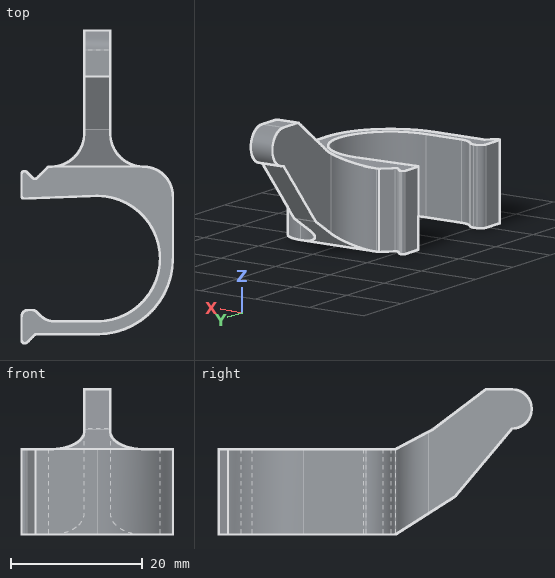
import cadquery as cq
import math

bore_radius = 9.5
wall = 2.0
outer_radius = bore_radius + wall
clip_height = 13.0
mouth_x = -outer_radius
back_y = 14.0
back_corner_radius = 4.5

notch_start_x = -7.4
notch_depth = 2.05
nose_top_y = 13.25
nose_bottom_y = 9.1
notch_root_radius = 0.4
nose_radius = 0.4

bead_top_y = -7.8
bead_radius = 1.0
bead_run_end_x = -6.5
bead_blend_radius = 3.0
hook_bottom_y = -12.9
hook_start_x = -9.4

lever_width = 4.0
root_radius = 5.0
lever_end_y = 34.65
lever_top_z = 22.05
tip_radius = 3.0
tip_center_y = lever_end_y - tip_radius
tip_bottom_z = lever_top_z - 2 * tip_radius
top_flat_end_y = 27.67
upper_bend_y, upper_bend_z = 19.65, 16.0
lower_bend_y, lower_bend_z = 23.0, 5.75

SIN_45 = math.sqrt(0.5)


def round_edge(body, x, y, radius):
    """Fillet the vertical edge nearest to (x, y)."""
    edge = cq.selectors.NearestToPointSelector((x, y, clip_height / 2))
    return body.edges("|Z").edges(edge).fillet(radius)


def make_clip():
    notch_x = notch_start_x - notch_depth
    notch_y = back_y - notch_depth
    nose_x = notch_x - (nose_top_y - notch_y)
    hook_x = hook_start_x - (-outer_radius - hook_bottom_y)
    hook_radius = (hook_x - mouth_x) * SIN_45
    hook_center_x = mouth_x + hook_radius
    hook_center_y = hook_bottom_y + hook_radius
    blend_x = bead_run_end_x - bead_blend_radius * SIN_45
    blend_y = -bore_radius + bead_blend_radius * (1 - SIN_45)
    bead_x = blend_x - (bead_top_y - blend_y)

    body = (
        cq.Workplane("XY")
        .moveTo(mouth_x, nose_top_y)
        .lineTo(nose_x, nose_top_y)
        .lineTo(notch_x, notch_y)
        .lineTo(notch_start_x, back_y)
        .lineTo(outer_radius, back_y)
        .lineTo(outer_radius, 0)
        .threePointArc((outer_radius * SIN_45, -outer_radius * SIN_45), (0, -outer_radius))
        .lineTo(hook_start_x, -outer_radius)
        .lineTo(hook_center_x + hook_radius * SIN_45, hook_center_y - hook_radius * SIN_45)
        .radiusArc((mouth_x, hook_center_y), hook_radius)
        .lineTo(mouth_x, bead_top_y)
        .lineTo(bead_x, bead_top_y)
        .lineTo(blend_x, blend_y)
        .radiusArc((bead_run_end_x, -bore_radius), -bead_blend_radius)
        .lineTo(0, -bore_radius)
        .threePointArc((bore_radius, 0), (0, bore_radius))
        .lineTo(mouth_x, nose_bottom_y)
        .close()
        .extrude(clip_height)
    )
    rounded_corners = [
        (outer_radius, back_y, back_corner_radius),
        (notch_x, notch_y, notch_root_radius),
        (mouth_x, nose_top_y, nose_radius),
        (nose_x, nose_top_y, nose_radius),
        (mouth_x, nose_bottom_y, nose_radius),
        (mouth_x, bead_top_y, bead_radius),
        (bead_x, bead_top_y, bead_radius),
    ]
    for x, y, radius in rounded_corners:
        body = round_edge(body, x, y, radius)
    return body


def make_lever():
    half_width = lever_width / 2
    root_half_width = half_width + root_radius
    root_end_y = back_y + root_radius
    plan = (
        cq.Workplane("XY")
        .moveTo(-root_half_width, back_y)
        .radiusArc((-half_width, root_end_y), -root_radius)
        .lineTo(-half_width, lever_end_y)
        .lineTo(half_width, lever_end_y)
        .lineTo(half_width, root_end_y)
        .radiusArc((root_half_width, back_y), -root_radius)
        .close()
        .extrude(lever_top_z)
    )
    side = (
        cq.Workplane("YZ")
        .moveTo(back_y, 0)
        .lineTo(lower_bend_y, lower_bend_z)
        .lineTo(tip_center_y, tip_bottom_z)
        .threePointArc((lever_end_y, lever_top_z - tip_radius), (tip_center_y, lever_top_z))
        .lineTo(top_flat_end_y, lever_top_z)
        .lineTo(upper_bend_y, upper_bend_z)
        .lineTo(back_y, clip_height)
        .close()
        .extrude(root_half_width, both=True)
    )
    return plan.intersect(side)


result = make_clip().union(make_lever())